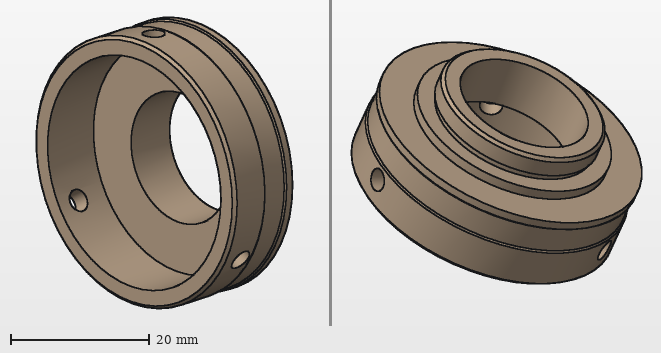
import cadquery as cq
import math

body_diameter = 40.6
groove_diameter = 40.1
shoulder_diameter = 30.0
neck_diameter = 24.65
spigot_diameter = 25.4
bore_diameter = 19.8
counterbore_diameter = 35.0

groove_start = 6.25
groove_end = 10.75
body_end = 12.0
shoulder_end = 13.5
neck_end = 14.5
total_length = 17.5
counterbore_depth = 9.5

edge_chamfer = 0.5
groove_depth = (body_diameter - groove_diameter) / 2

radial_hole_diameter = 3.3
radial_hole_position = 4.0
radial_hole_count = 3
first_hole_angle = 90.0


def make_body():
    """Turned outer shape, revolved about the Y axis."""
    body_radius = body_diameter / 2
    groove_radius = groove_diameter / 2
    shoulder_radius = shoulder_diameter / 2
    neck_radius = neck_diameter / 2
    spigot_radius = spigot_diameter / 2
    profile = [
        (0, 0),
        (body_radius - edge_chamfer, 0),
        (body_radius, edge_chamfer),
        (body_radius, groove_start),
        (groove_radius, groove_start + groove_depth),
        (groove_radius, groove_end - groove_depth),
        (body_radius, groove_end),
        (body_radius, body_end),
        (shoulder_radius, body_end),
        (shoulder_radius, shoulder_end),
        (neck_radius, shoulder_end),
        (neck_radius, neck_end),
        (spigot_radius, neck_end),
        (spigot_radius, total_length - edge_chamfer),
        (spigot_radius - edge_chamfer, total_length),
        (0, total_length),
    ]
    return cq.Workplane("XY").polyline(profile).close().revolve(360, (0, 0), (0, 1))


def axial_cylinder(diameter, length):
    """Cylinder on the part axis, starting at the open face."""
    return cq.Workplane("XZ").circle(diameter / 2).extrude(-length)


def radial_hole(angle):
    """Cutter running outward from the part axis, turned by angle degrees in the XZ plane."""
    direction = cq.Vector(math.cos(math.radians(angle)), 0, math.sin(math.radians(angle)))
    return cq.Solid.makeCylinder(
        radial_hole_diameter / 2,
        body_diameter,
        cq.Vector(0, radial_hole_position, 0),
        direction,
    )


result = make_body()
result = result.cut(axial_cylinder(bore_diameter, total_length))
result = result.cut(axial_cylinder(counterbore_diameter, counterbore_depth))
for index in range(radial_hole_count):
    result = result.cut(radial_hole(first_hole_angle + index * 360 / radial_hole_count))